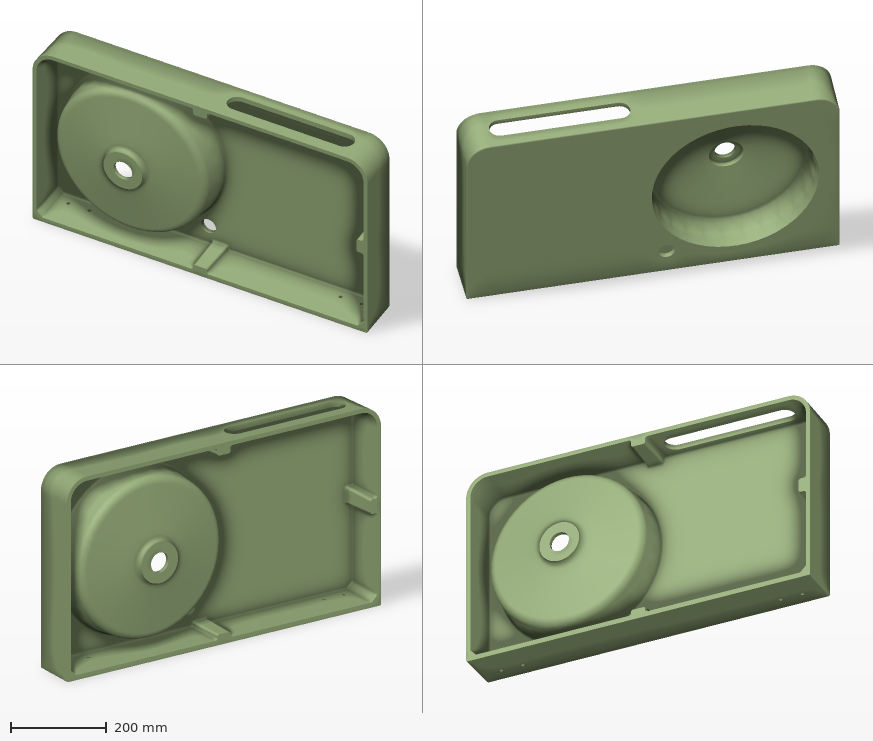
import cadquery as cq
import math

WIDTH = 800.0
HEIGHT = 450.0
DEPTH = 100.0
PLATE_THICKNESS = 11.0
CAVITY_DEPTH = DEPTH - PLATE_THICKNESS
TOP_CORNER_RADIUS = 50.0
BOTTOM_EDGE_RADIUS = 3.0
BACK_EDGE_RADIUS = 3.0

SIDE_WALL = 10.0
TOP_WALL = 10.0
BOTTOM_WALL = 11.0
CAVITY_TOP_RADIUS = TOP_CORNER_RADIUS - TOP_WALL
CAVITY_CHAMFER = 14.0
CHAMFER_EDGE_RADIUS = 6.0
FLOOR_FILLET = 5.0

OUTER_DRAFT = 0.9
SIDE_DRAFT = 1.0
LONG_WALL_DRAFT = 2.7
RIB_DRAFT = 1.5

RIB_WIDTH = 33.0
RIB_REACH = 26.0
BOTTOM_RIB_REACH = 24.0
RIB_EDGE_RADIUS = 5.0
RIB_ROOT_RADIUS = 6.0

BOWL_X = -175.0
BOWL_SHELL = 10.0
BOWL_CONE_ANGLE = 8.7
CROWN_RADIUS = 165.0
CROWN_Y = 14.0
SHOULDER_RADIUS = 181.0
SHOULDER_Y = 30.0
FLARE_RADIUS = 193.0
FLARE_FILLET = 5.0
BOWL_BASE_RADIUS = FLARE_RADIUS - FLARE_FILLET

BOSS_FOOT_RADIUS = 56.0
BOSS_RADIUS = 46.0
BOSS_TIP_Y = -17.0
BOSS_LIP = 4.0
DRAIN_RADIUS = 22.0
DRAIN_RECESS_RADIUS = BOSS_RADIUS - BOWL_SHELL

TAP_HOLE_X = -29.0
TAP_HOLE_Z = -165.0
TAP_HOLE_DIAMETER = 35.0
SLOT_X = 190.0
SLOT_LENGTH = 301.0
SLOT_WIDTH = 45.0
FIXING_HOLE_X = (300.0, 350.0)
FIXING_HOLE_Y = 65.0
FIXING_HOLE_DIAMETER = 8.0
FIXING_HOLE_DEPTH = 32.0


def drafted_block(left, right, low, high, depth, drafts):
    """Block from Y = 0 to depth whose left, right, low and high faces lean inward by drafts degrees."""
    inset = [depth * math.tan(math.radians(angle)) for angle in drafts]

    def outline(y, x0, x1, z0, z1):
        corners = [(x0, y, z0), (x1, y, z0), (x1, y, z1), (x0, y, z1)]
        return cq.Wire.makePolygon([cq.Vector(*corner) for corner in corners], close=True)

    near = outline(0, left, right, low, high)
    far = outline(depth, left + inset[0], right - inset[1], low + inset[2], high - inset[3])
    return cq.Workplane(cq.Solid.makeLoft([near, far], True))


def corner_edges(low, high, left=-WIDTH, right=WIDTH):
    """Selector for edges whose midpoints lie about halfway along the depth, within these limits."""
    return cq.selectors.BoxSelector((left, 0.3 * DEPTH, low), (right, 0.7 * DEPTH, high))


def tray_outside():
    body = drafted_block(-WIDTH / 2, WIDTH / 2, -HEIGHT / 2, HEIGHT / 2, DEPTH, [OUTER_DRAFT] * 4)
    body = body.edges(corner_edges(0, HEIGHT)).fillet(TOP_CORNER_RADIUS)
    body = body.edges(corner_edges(-HEIGHT, 0)).fillet(BOTTOM_EDGE_RADIUS)
    return body.faces(">Y").edges().fillet(BACK_EDGE_RADIUS)


def ribs():
    half = RIB_WIDTH / 2
    side, end = WIDTH / 2, HEIGHT / 2
    limits = [
        (-half, half, end - RIB_REACH, end),
        (-half, half, -end, -end + BOTTOM_RIB_REACH),
        (side - RIB_REACH, side, -half, half),
    ]
    blocks = [drafted_block(*sides, DEPTH, [-RIB_DRAFT] * 4) for sides in limits]
    return blocks[0].union(blocks[1]).union(blocks[2])


def cavity():
    space = drafted_block(
        -WIDTH / 2 + SIDE_WALL,
        WIDTH / 2 - SIDE_WALL,
        -HEIGHT / 2 + BOTTOM_WALL,
        HEIGHT / 2 - TOP_WALL,
        CAVITY_DEPTH,
        [SIDE_DRAFT, SIDE_DRAFT, LONG_WALL_DRAFT, LONG_WALL_DRAFT],
    )
    space = space.edges(corner_edges(0, HEIGHT)).fillet(CAVITY_TOP_RADIUS)
    space = space.edges(corner_edges(-HEIGHT, 0)).chamfer(CAVITY_CHAMFER)
    space = space.edges(corner_edges(-HEIGHT, 0)).fillet(CHAMFER_EDGE_RADIUS)
    space = space.cut(ribs())

    zone = RIB_WIDTH
    middle_z = HEIGHT / 2 - (TOP_WALL + RIB_REACH) / 2
    middle_x = WIDTH / 2 - (SIDE_WALL + RIB_REACH) / 2
    for limits, radius in [
        ((-middle_z, middle_z, -zone, zone), RIB_EDGE_RADIUS),
        ((-zone, zone, 0, middle_x), RIB_EDGE_RADIUS),
        ((-HEIGHT, -middle_z, -zone, zone), RIB_ROOT_RADIUS),
        ((middle_z, HEIGHT, -zone, zone), RIB_ROOT_RADIUS),
        ((-zone, zone, middle_x, WIDTH), RIB_ROOT_RADIUS),
    ]:
        space = space.edges(corner_edges(*limits)).fillet(radius)
    return space.faces(">Y").edges().fillet(FLOOR_FILLET)


def turned_about_bowl_axis(profile):
    """Revolve a profile drawn as (radius, Y) around the bowl axis."""
    return profile.close().revolve(360, (0, 0), (0, 1)).translate((BOWL_X, 0, 0))


def cone_y(radius):
    """Y of the dome's conical face at a radius."""
    return CROWN_Y - (CROWN_RADIUS - radius) * math.tan(math.radians(BOWL_CONE_ANGLE))


def bowl_outside():
    return turned_about_bowl_axis(
        cq.Workplane("XY")
        .moveTo(0, BOSS_TIP_Y)
        .lineTo(BOSS_RADIUS, BOSS_TIP_Y)
        .lineTo(BOSS_RADIUS, BOSS_TIP_Y + BOSS_LIP)
        .radiusArc((BOSS_FOOT_RADIUS, cone_y(BOSS_FOOT_RADIUS)), BOSS_FOOT_RADIUS - BOSS_RADIUS)
        .lineTo(CROWN_RADIUS, CROWN_Y)
        .tangentArcPoint((SHOULDER_RADIUS, SHOULDER_Y), relative=False)
        .lineTo(BOWL_BASE_RADIUS, CAVITY_DEPTH - FLARE_FILLET)
        .radiusArc((FLARE_RADIUS, CAVITY_DEPTH), FLARE_FILLET)
        .lineTo(FLARE_RADIUS, DEPTH - BACK_EDGE_RADIUS)
        .lineTo(0, DEPTH - BACK_EDGE_RADIUS)
    )


def bowl_inside():
    """Space inside the bowl: a basin open at the back, with a drain recess and drain hole."""
    dish_shift = BOWL_SHELL / math.cos(math.radians(BOWL_CONE_ANGLE))
    basin = turned_about_bowl_axis(
        cq.Workplane("XY")
        .moveTo(0, cone_y(0) + dish_shift)
        .lineTo(CROWN_RADIUS, CROWN_Y + dish_shift)
        .tangentArcPoint((SHOULDER_RADIUS - BOWL_SHELL, SHOULDER_Y), relative=False)
        .lineTo(BOWL_BASE_RADIUS - BOWL_SHELL, DEPTH)
        .lineTo(0, DEPTH)
    )
    recess_y = BOSS_TIP_Y + BOWL_SHELL
    drain = turned_about_bowl_axis(
        cq.Workplane("XY")
        .moveTo(0, BOSS_TIP_Y)
        .lineTo(DRAIN_RADIUS, BOSS_TIP_Y)
        .lineTo(DRAIN_RADIUS, recess_y)
        .lineTo(DRAIN_RECESS_RADIUS, recess_y)
        .lineTo(DRAIN_RECESS_RADIUS, CROWN_Y + dish_shift)
        .lineTo(0, CROWN_Y + dish_shift)
    )
    return basin.union(drain)


def tap_hole():
    hole = cq.Workplane("XZ").center(TAP_HOLE_X, TAP_HOLE_Z).circle(TAP_HOLE_DIAMETER / 2)
    return hole.extrude(-DEPTH)


def towel_slot():
    slot = cq.Workplane("XY").center(SLOT_X, DEPTH / 2).slot2D(SLOT_LENGTH, SLOT_WIDTH)
    return slot.extrude(HEIGHT / 2)


def fixing_holes():
    places = [(sign * x, FIXING_HOLE_Y) for x in FIXING_HOLE_X for sign in (-1, 1)]
    holes = cq.Workplane("XY").workplane(offset=-HEIGHT / 2).pushPoints(places)
    return holes.circle(FIXING_HOLE_DIAMETER / 2).extrude(FIXING_HOLE_DEPTH)


result = (
    tray_outside()
    .cut(cavity())
    .union(bowl_outside())
    .cut(bowl_inside())
    .cut(tap_hole())
    .cut(towel_slot())
    .cut(fixing_holes())
)